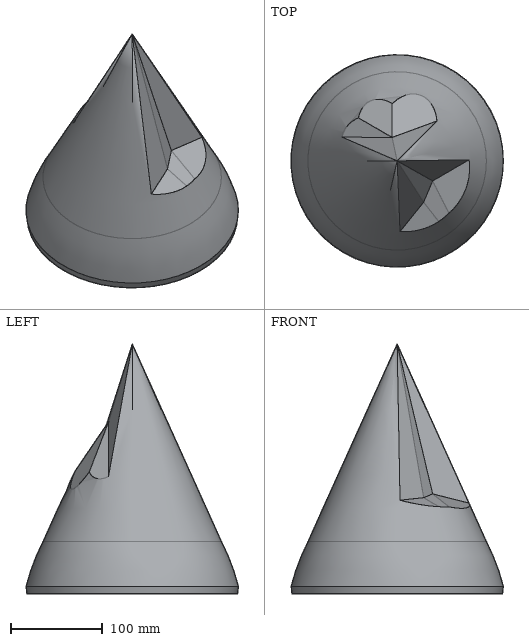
import cadquery as cq

height = 272.0
widest_radius = 115.65
base_radius = 114.8
widest_height = 8.2
shoulder_radius = 97.0
shoulder_height = 57.0
skirt_mid_radius = 110.5
skirt_mid_height = 25.8
overshoot = 3.0

apex = cq.Vector(0, 0, height)

front_valley_right = cq.Vector(38.5, -21.8, 108.8)
front_valley_left = cq.Vector(28.8, -45.0, 104.7)
front_right = cq.Vector(76.2, 0, 99.3)
front_left = cq.Vector(4.0, -75.5, 102.0)
front_middle = cq.Vector(55.8, -55.8, 95.2)

rear_valley = cq.Vector(-5.5, 25.5, 187.7)
rear_left = cq.Vector(-58.5, 25.8, 129.2)
rear_left_middle = cq.Vector(-43.5, 47.5, 130.5)
rear_middle = cq.Vector(-5.5, 65.3, 129.2)
rear_right = cq.Vector(43.5, 43.5, 136)


def reach_out(inner, flank):
    """Extend the line from an inner point through a flank point."""
    return inner + (flank - inner) * overshoot


def apex_wedge(rim, floor):
    """Solid whose sides join the closed rim to the apex, closed by floor triangles."""
    sides = [(apex, start, end) for start, end in zip(rim, rim[1:] + rim[:1])]
    faces = []
    for triangle in sides + floor:
        outline = cq.Wire.makePolygon(triangle, close=True)
        faces.append(cq.Face.makeFromWires(outline))
    return cq.Workplane(cq.Solid.makeSolid(cq.Shell.makeShell(faces)))


def cone_body():
    """Straight cone that rounds into a nearly upright skirt at its base."""
    return (
        cq.Workplane("XZ")
        .lineTo(base_radius, 0)
        .lineTo(widest_radius, widest_height)
        .threePointArc((skirt_mid_radius, skirt_mid_height), (shoulder_radius, shoulder_height))
        .lineTo(0, height)
        .close()
        .revolve(360, (0, 0), (0, 1))
    )


def front_dent():
    """Valley running down from the apex to a sloping ledge."""
    right = reach_out(front_valley_right, front_right)
    middle = reach_out(front_valley_right, front_middle)
    left = reach_out(front_valley_left, front_left)
    rim = [right, front_valley_right, front_valley_left, left, middle]
    floor = [
        (front_valley_right, right, middle),
        (front_valley_right, middle, front_valley_left),
        (front_valley_left, middle, left),
    ]
    return apex_wedge(rim, floor)


def rear_dent():
    """Flattened face below the apex that spreads back out to the flank."""
    left = reach_out(rear_valley, rear_left)
    left_middle = reach_out(rear_valley, rear_left_middle)
    middle = reach_out(rear_valley, rear_middle)
    right = reach_out(rear_valley, rear_right)
    rim = [left, rear_valley, right, middle, left_middle]
    floor = [
        (rear_valley, left, left_middle),
        (rear_valley, left_middle, middle),
        (rear_valley, middle, right),
    ]
    return apex_wedge(rim, floor)


result = cone_body().cut(front_dent()).cut(rear_dent())